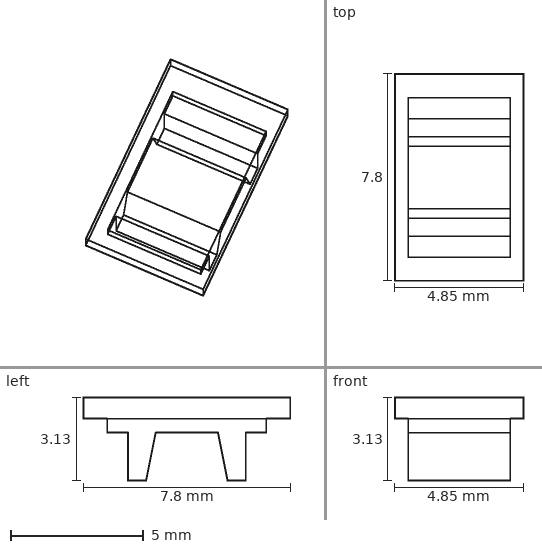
import cadquery as cq

plate_width = 4.85
plate_length = 7.8
plate_thickness = 0.8

step_width = 3.85
step_length = 6.0
step_thickness = 0.53

leg_height = 1.8
leg_span = 4.44
leg_root_thickness = 1.05
leg_foot_thickness = 0.69

step_bottom = leg_height
plate_bottom = step_bottom + step_thickness


def block(width, length, thickness, bottom):
    """Rectangular block centred on the Z axis."""
    return (
        cq.Workplane("XY")
        .workplane(offset=bottom)
        .rect(width, length)
        .extrude(thickness)
    )


def leg(side):
    """Tapered leg on the +Y (side = 1) or -Y (side = -1) end."""
    outer = leg_span / 2
    root_inner = outer - leg_root_thickness
    foot_inner = outer - leg_foot_thickness
    outline = [
        (side * outer, 0),
        (side * outer, step_bottom),
        (side * root_inner, step_bottom),
        (side * foot_inner, 0),
    ]
    return cq.Workplane("YZ").polyline(outline).close().extrude(step_width / 2, both=True)


result = block(plate_width, plate_length, plate_thickness, plate_bottom)
result = result.union(block(step_width, step_length, step_thickness, step_bottom))
for side in (-1, 1):
    result = result.union(leg(side))